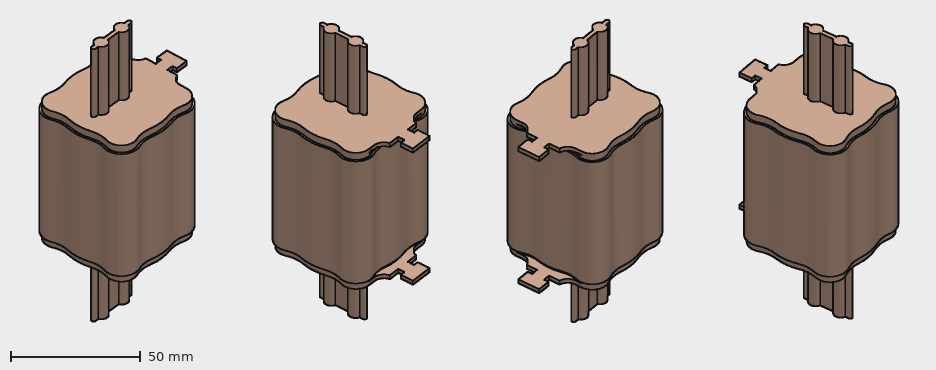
import cadquery as cq
import math

body_half_width = 23.52
body_half_height = 30.0
corner_center = 16.0
valley_radius = 13.4

cap_inset = 1.0
cap_half_height = 33.5

tab_thickness = 2.0
tab_tip_y = 35.44
tab_head_base_y = 29.5
tab_shoulder_y = 26.4
tab_head_half_width = 5.1
tab_neck_half_width = 3.0
tab_shoulder_half_width = 8.0
tab_root_radius = 5.0

total_height = 134.0
blade_center_y = -3.4
blade_length = 23.0
blade_thickness = 2.0
rib_radius = 3.02
rib_spacing = 12.0


def point_at(center, radius, angle):
    """Point on a circle at the given angle in radians."""
    return center[0] + radius * math.cos(angle), center[1] + radius * math.sin(angle)


def valley_polar():
    """Distance from the origin and angle from +X of the first valley arc's center.

    The valley arc touches the side bulge (a circle about the origin) and the corner circle.
    """
    corner_distance = math.hypot(corner_center, corner_center)
    corner_radius = body_half_width - corner_center
    to_origin = body_half_width + valley_radius
    to_corner = corner_radius + valley_radius
    cosine = (corner_distance**2 + to_origin**2 - to_corner**2) / (2 * corner_distance * to_origin)
    return to_origin, math.pi / 4 - math.acos(cosine)


def wavy_prism(inset, half_height):
    """Prism of four identical sides: bulge, valley, corner, valley, each tangent to the next."""
    side_radius = body_half_width - inset
    corner_radius = side_radius - corner_center
    valley_arc_radius = valley_radius + inset
    valley_distance, valley_angle = valley_polar()
    valley_x, valley_y = point_at((0, 0), valley_distance, valley_angle)

    valley_start = math.pi + valley_angle
    valley_end = math.atan2(corner_center - valley_y, corner_center - valley_x)
    valley_middle = (valley_start + valley_end) / 2
    corner_middle = math.pi / 4
    corner_end = 1.5 * math.pi - valley_end

    outline = cq.Workplane("XY").workplane(offset=-half_height)
    outline = outline.moveTo(*point_at((0, 0), side_radius, -valley_angle))
    for side in range(4):
        turn = side * math.pi / 2
        next_turn = turn + math.pi / 2
        corner = point_at((0, 0), math.hypot(corner_center, corner_center), turn + corner_middle)
        first_valley = point_at((0, 0), valley_distance, turn + valley_angle)
        second_valley = point_at((0, 0), valley_distance, next_turn - valley_angle)
        outline = (
            outline
            .threePointArc(point_at((0, 0), side_radius, turn),
                           point_at((0, 0), side_radius, turn + valley_angle))
            .threePointArc(point_at(first_valley, valley_arc_radius, turn + valley_middle),
                           point_at(first_valley, valley_arc_radius, turn + valley_end))
            .threePointArc(point_at(corner, corner_radius, turn + corner_middle),
                           point_at(corner, corner_radius, turn + corner_end))
            .threePointArc(point_at(second_valley, valley_arc_radius, next_turn - valley_middle),
                           point_at(second_valley, valley_arc_radius, next_turn - valley_start))
        )
    return outline.close().extrude(2 * half_height)


def pull_tab(bottom_z):
    """T-shaped tab whose root flares out to the straight edge of the cap."""
    edge_y = body_half_width - cap_inset
    arc_center_y = edge_y + tab_root_radius
    shoulder_rise = tab_shoulder_y - arc_center_y
    arc_center_x = tab_shoulder_half_width + math.sqrt(tab_root_radius**2 - shoulder_rise**2)
    shoulder_angle = math.atan2(shoulder_rise, tab_shoulder_half_width - arc_center_x) % (2 * math.pi)
    arc_middle = point_at((arc_center_x, arc_center_y), tab_root_radius,
                          (shoulder_angle + 1.5 * math.pi) / 2)
    half_tab = (
        cq.Workplane("XY").workplane(offset=bottom_z)
        .lineTo(0, tab_tip_y)
        .lineTo(tab_head_half_width, tab_tip_y)
        .lineTo(tab_head_half_width, tab_head_base_y)
        .lineTo(tab_neck_half_width, tab_head_base_y)
        .lineTo(tab_neck_half_width, tab_shoulder_y)
        .lineTo(tab_shoulder_half_width, tab_shoulder_y)
        .threePointArc(arc_middle, (arc_center_x, edge_y))
        .lineTo(corner_center, edge_y)
        .lineTo(corner_center, 0)
        .close()
        .extrude(tab_thickness)
    )
    return half_tab.union(half_tab.mirror("YZ"))


def contact_blade():
    """Full-height blade running through the body and out of both caps."""
    base = cq.Workplane("XY", origin=(0, blade_center_y, -total_height / 2))
    strip = base.slot2D(blade_length, blade_thickness, 90).extrude(total_height)
    ribs = base.rarray(1.3, rib_spacing, 1, 2).circle(rib_radius).extrude(total_height)
    return strip.union(ribs)


result = (
    wavy_prism(0, body_half_height)
    .union(wavy_prism(cap_inset, cap_half_height))
    .union(pull_tab(cap_half_height - tab_thickness))
    .union(pull_tab(-cap_half_height))
    .union(contact_blade())
)